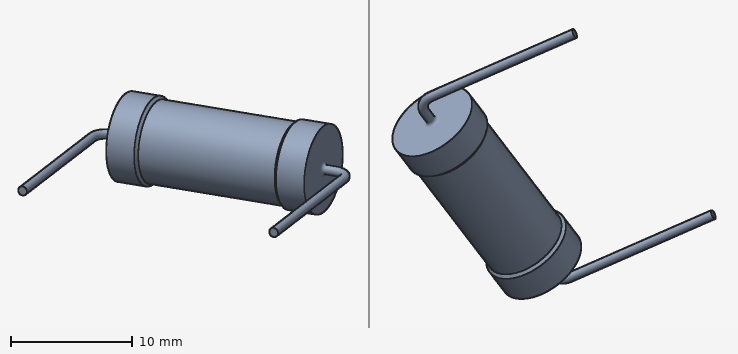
import cadquery as cq

body_length = 18.02
cap_radius = 3.8
cap_length = 2.55
barrel_radius = 3.55
step = cap_radius - barrel_radius

overall_length = 23.65
wire_radius = 0.4
bend_radius = 1.25
lead_tip_y = -15.0
flare = 0.3

cap_face_x = body_length / 2
cap_inner_x = cap_face_x - cap_length
barrel_end_x = cap_inner_x - step
lead_x = overall_length / 2 - wire_radius
bend_start_x = lead_x - bend_radius


def make_body():
    """Revolve the half profile of barrel and caps about X."""
    return (
        cq.Workplane("XY")
        .moveTo(-cap_face_x, 0)
        .lineTo(-cap_face_x, cap_radius)
        .lineTo(-cap_inner_x, cap_radius)
        .lineTo(-barrel_end_x, barrel_radius)
        .lineTo(barrel_end_x, barrel_radius)
        .lineTo(cap_inner_x, cap_radius)
        .lineTo(cap_face_x, cap_radius)
        .lineTo(cap_face_x, 0)
        .close()
        .revolve(360, (0, 0, 0), (1, 0, 0))
    )


def make_wire():
    """Sweep the +X lead from inside the cap through its bend to the tip."""
    path = (
        cq.Workplane("XY")
        .moveTo(barrel_end_x, 0)
        .lineTo(bend_start_x, 0)
        .tangentArcPoint((lead_x, -bend_radius), relative=False)
        .lineTo(lead_x, lead_tip_y)
    )
    return cq.Workplane("YZ", origin=(barrel_end_x, 0, 0)).circle(wire_radius).sweep(path)


def make_flare():
    """Concave collar blending the +X cap face into the wire."""
    base_radius = wire_radius + flare
    flare_end_x = cap_face_x + flare
    return (
        cq.Workplane("XY")
        .moveTo(barrel_end_x, 0)
        .lineTo(barrel_end_x, base_radius)
        .lineTo(cap_face_x, base_radius)
        .radiusArc((flare_end_x, wire_radius), -flare)
        .lineTo(flare_end_x, 0)
        .close()
        .revolve(360, (0, 0, 0), (1, 0, 0))
    )


lead = make_wire().union(make_flare())
result = make_body().union(lead).union(lead.mirror("YZ"))